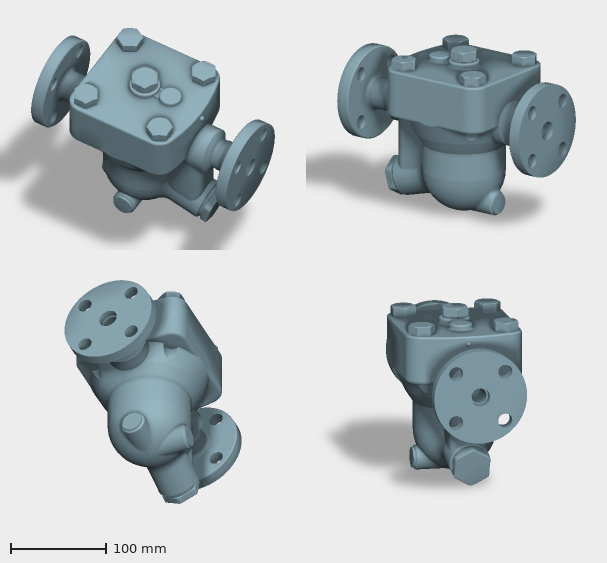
import cadquery as cq
import math


BOWL_R = 44.0
DOME_Z = -62.4
SHOULDER_Z = -32.7
CONE_BREAK_Z = -19.1
CONE_BREAK_R = 52.8
CONE_TOP_Z = 7.2
CONE_TOP_R = 65.7

HALF_SIDE = 125.0 / 2
BOLT_OFFSET = 45.2
CORNER_R = HALF_SIDE - BOLT_OFFSET
NOSE_CORNER_R = 18.2
NOSE_X = 69.0
NOSE_X_BOTTOM = 67.2
JOINT_Z = 29.2
COVER_TOP_Z = 51.6
COVER_EDGE_R = 2.5
FLANGE_EDGE_R = 3.5
BOLT_RELIEF_R = 8.5
BOLT_RELIEF_DEPTH = 28.7

BOLT_HEAD_AF = 24.5
BOLT_HEAD_HEIGHT = 10.0
BOSS_TOP_Z = 58.0
BOSS_FOOT_R = 2.9
BOSS_EDGE_R = 2.0
BIG_BOSS_R = 33.0 / 2
SMALL_BOSS_R = 24.0 / 2
SMALL_BOSS_X = 31.5
BRIDGE_TOP_WIDTH = 13.6
COVER_PLUG_AF = 26.5
COVER_PLUG_HEIGHT = 10.3
COVER_PLUG_NECK_R = 26.0 / 2
COVER_PLUG_NECK_HEIGHT = 1.0
PIN_R = 2.9
PIN_TIP_R = 2.5
PIN_Z = 43.5
PIN_TIP_X = 72.5

LENGTH = 239.0
PIPE_MID_X = 10.0
HALF_LENGTH = LENGTH / 2
PIPE_FLANGE_R = 100.0 / 2
PIPE_FLANGE_THICKNESS = 13.6
PIPE_FLANGE_CHAMFER = 1.2
NECK_FOOT_R = 4.3
NECK_R = 33.0 / 2
NECK_THIN_R = 32.0 / 2
WELD_BULGE = 0.6
WELD_OUTER = 91.3
WELD_INNER = 84.1
HUB_NECK_END = 79.5
HUB_START = 74.5
HUB_R = 48.3 / 2
BOLT_CIRCLE_R = 74.8 / 2
FLANGE_HOLE_D = 15.0
MOUTH_D = 20.0
MOUTH_DEPTH = 8.0
BORE_D = 16.0
BORE_DEPTH = 40.6

LEG_END_X = 77.0
LEG_HALF_WIDTH = 40.0 / 2
LEG_EDGE_R = 11.5
LEG_BOTTOM_Z = -76.5

STRAINER_ANGLE = 15.0
STRAINER_R = 44.0 / 2
STRAINER_BLEND_R = 17.0
STRAINER_SINK = 0.12
STRAINER_END = 80.0
STRAINER_CHAMFER = 1.0
GASKET_R = 38.0 / 2
CAP_START = 83.5
CAP_END = 91.5
CAP_AF = 37.8
CAP_CORNER_R = 4.0
CAP_RIM_R = 1.2

PLUG_Z = -92.3
PLUG_R = 26.0 / 2
PLUG_BARREL_END = 42.8
PLUG_CHAMFER_END = 44.5
PLUG_END = 46.1
PLUG_TIP_R = 22.0 / 2
PLUG_BLEND_R = 4.8

HEX_CHAMFER_ANGLE = 30.0
HEX_FACE_SHARE = 0.97


def hex_corner_radius(across_flats):
    return across_flats / 2 / math.cos(math.pi / 6)


def hex_head(across_flats, height, turn=0.0, both_ends=False):
    """Hexagon standing on z = 0, corners on X, with its end corners turned off conically."""
    corner_r = hex_corner_radius(across_flats)
    face_r = across_flats / 2 * HEX_FACE_SHARE
    drop = (corner_r - face_r) * math.tan(math.radians(HEX_CHAMFER_ANGLE))
    head = cq.Workplane("XY").polygon(6, 2 * corner_r).extrude(height)
    turned = cq.Workplane("XZ")
    if both_ends:
        turned = turned.lineTo(face_r, 0).lineTo(corner_r, drop)
    else:
        turned = turned.lineTo(corner_r, 0)
    turned = (
        turned.lineTo(corner_r, height - drop)
        .lineTo(face_r, height)
        .lineTo(0, height)
        .close()
        .revolve(360, (0, 0, 0), (0, 1, 0))
    )
    return head.intersect(turned).rotate((0, 0, 0), (0, 0, 1), turn)


def bowl():
    turned = (
        cq.Workplane("XZ")
        .moveTo(0, CONE_TOP_Z)
        .lineTo(CONE_TOP_R, CONE_TOP_Z)
        .lineTo(CONE_BREAK_R, CONE_BREAK_Z)
        .lineTo(BOWL_R, SHOULDER_Z)
        .lineTo(BOWL_R, DOME_Z)
        .radiusArc((0, DOME_Z - BOWL_R), BOWL_R)
        .close()
        .revolve(360, (0, 0, 0), (0, 1, 0))
    )
    bottom = cq.Workplane("XY", origin=(0, 0, DOME_Z - BOWL_R))
    envelope = square_outline(bottom, NOSE_X_BOTTOM).extrude(CONE_TOP_Z - DOME_Z + BOWL_R)
    return turned.intersect(envelope)


def square_outline(plane, nose_x):
    """Rounded square whose +X side is one wide arc tangent to its two corners."""
    centre = HALF_SIDE - NOSE_CORNER_R
    reach = nose_x - NOSE_CORNER_R
    bow_x = (reach**2 - 2 * centre**2) / (2 * (reach - centre))
    lean = math.atan2(centre, centre - bow_x)

    def corner_point(angle):
        return (centre + NOSE_CORNER_R * math.cos(angle), centre + NOSE_CORNER_R * math.sin(angle))

    end_x, end_y = corner_point(lean)
    mid_x, mid_y = corner_point((lean + math.pi / 2) / 2)
    return (
        plane.moveTo(-BOLT_OFFSET, -HALF_SIDE)
        .lineTo(centre, -HALF_SIDE)
        .threePointArc((mid_x, -mid_y), (end_x, -end_y))
        .threePointArc((nose_x, 0), (end_x, end_y))
        .threePointArc((mid_x, mid_y), (centre, HALF_SIDE))
        .lineTo(-BOLT_OFFSET, HALF_SIDE)
        .radiusArc((-HALF_SIDE, BOLT_OFFSET), -CORNER_R)
        .lineTo(-HALF_SIDE, -BOLT_OFFSET)
        .radiusArc((-BOLT_OFFSET, -HALF_SIDE), -CORNER_R)
        .close()
    )


def body_flange():
    lower = square_outline(cq.Workplane("XY"), NOSE_X_BOTTOM)
    both = square_outline(lower.workplane(offset=JOINT_Z), NOSE_X)
    return both.loft(ruled=True).faces("<Z").edges().fillet(FLANGE_EDGE_R)


def cover():
    plate = square_outline(cq.Workplane("XY", origin=(0, 0, JOINT_Z)), NOSE_X)
    return plate.extrude(COVER_TOP_Z - JOINT_Z).faces(">Z").edges().fillet(COVER_EDGE_R)


def corner_points():
    return [(sx * BOLT_OFFSET, sy * BOLT_OFFSET) for sx in (-1, 1) for sy in (-1, 1)]


def cover_bolts():
    heads = cq.Workplane("XY")
    for x, y in corner_points():
        turn = 0 if x * y > 0 else 30
        heads = heads.add(hex_head(BOLT_HEAD_AF, BOLT_HEAD_HEIGHT, turn).translate((x, y, COVER_TOP_Z)))
    return heads.combine()


def boss(x, radius):
    """Round cover boss with a hollow foot radius and a rounded rim."""
    return (
        cq.Workplane("XZ")
        .moveTo(0, COVER_TOP_Z)
        .lineTo(radius + BOSS_FOOT_R, COVER_TOP_Z)
        .radiusArc((radius, COVER_TOP_Z + BOSS_FOOT_R), BOSS_FOOT_R)
        .lineTo(radius, BOSS_TOP_Z - BOSS_EDGE_R)
        .radiusArc((radius - BOSS_EDGE_R, BOSS_TOP_Z), -BOSS_EDGE_R)
        .lineTo(0, BOSS_TOP_Z)
        .close()
        .revolve(360, (0, 0, 0), (0, 1, 0))
        .translate((x, 0, 0))
    )


def boss_bridge():
    half = BRIDGE_TOP_WIDTH / 2
    top_z = COVER_TOP_Z + BOSS_FOOT_R
    return (
        cq.Workplane("YZ")
        .moveTo(-half - BOSS_FOOT_R, COVER_TOP_Z)
        .lineTo(half + BOSS_FOOT_R, COVER_TOP_Z)
        .radiusArc((half, top_z), BOSS_FOOT_R)
        .lineTo(-half, top_z)
        .radiusArc((-half - BOSS_FOOT_R, COVER_TOP_Z), BOSS_FOOT_R)
        .close()
        .extrude(SMALL_BOSS_X)
    )


def cover_plug():
    neck = cq.Workplane("XY").circle(COVER_PLUG_NECK_R).extrude(COVER_PLUG_NECK_HEIGHT)
    head = hex_head(COVER_PLUG_AF, COVER_PLUG_HEIGHT, both_ends=True)
    head = head.translate((0, 0, COVER_PLUG_NECK_HEIGHT))
    return neck.union(head).translate((0, 0, BOSS_TOP_Z))


def nose_pin():
    pin = cq.Workplane("YZ", origin=(BOLT_OFFSET, 0, PIN_Z)).circle(PIN_R).extrude(PIN_TIP_X - BOLT_OFFSET)
    return pin.faces(">X").edges().fillet(PIN_TIP_R)


def pipe_end():
    """The +X pipe end, its X measured from the pipe midpoint."""
    inner_face = HALF_LENGTH - PIPE_FLANGE_THICKNESS
    weld_mid = ((WELD_OUTER + WELD_INNER) / 2, (NECK_R + NECK_THIN_R) / 2 + WELD_BULGE)
    turned = (
        cq.Workplane("XY")
        .lineTo(HALF_LENGTH, 0)
        .lineTo(HALF_LENGTH, PIPE_FLANGE_R)
        .lineTo(inner_face + PIPE_FLANGE_CHAMFER, PIPE_FLANGE_R)
        .lineTo(inner_face, PIPE_FLANGE_R - PIPE_FLANGE_CHAMFER)
        .lineTo(inner_face, NECK_R + NECK_FOOT_R)
        .radiusArc((inner_face - NECK_FOOT_R, NECK_R), NECK_FOOT_R)
        .lineTo(WELD_OUTER, NECK_R)
        .threePointArc(weld_mid, (WELD_INNER, NECK_THIN_R))
        .lineTo(HUB_NECK_END, NECK_THIN_R)
        .lineTo(HUB_START, HUB_R)
        .lineTo(0, HUB_R)
        .close()
        .revolve(360, (0, 0, 0), (1, 0, 0))
    )
    face = cq.Workplane("YZ", origin=(HALF_LENGTH, 0, 0))
    holes = (
        face.polarArray(BOLT_CIRCLE_R, 45, 360, 4)
        .circle(FLANGE_HOLE_D / 2)
        .extrude(-PIPE_FLANGE_THICKNESS)
    )
    mouth = face.circle(MOUTH_D / 2).extrude(-MOUTH_DEPTH)
    bore = face.circle(BORE_D / 2).extrude(-BORE_DEPTH)
    return turned.cut(holes).cut(mouth).cut(bore)


def pipe():
    right = pipe_end()
    return right.union(right.mirror("YZ")).translate((PIPE_MID_X, 0, 0))


def outlet_leg():
    leg = cq.Workplane("XY").box(LEG_END_X, 2 * LEG_HALF_WIDTH, -LEG_BOTTOM_Z, centered=(False, True, False))
    return leg.edges("|Z and >X").fillet(LEG_EDGE_R).translate((0, 0, LEG_BOTTOM_Z))


def strainer():
    """Branch with a hollow blend that sinks just under the dome, closed by a hexagon cap."""
    sunk_r = BOWL_R - STRAINER_SINK
    arc_r = STRAINER_R + STRAINER_BLEND_R
    arc_z = math.sqrt((sunk_r + STRAINER_BLEND_R) ** 2 - arc_r**2)
    on_dome = sunk_r / (sunk_r + STRAINER_BLEND_R)
    branch = (
        cq.Workplane("XZ")
        .lineTo(arc_r * on_dome, arc_z * on_dome)
        .radiusArc((STRAINER_R, arc_z), STRAINER_BLEND_R)
        .lineTo(STRAINER_R, STRAINER_END - STRAINER_CHAMFER)
        .lineTo(STRAINER_R - STRAINER_CHAMFER, STRAINER_END)
        .lineTo(GASKET_R, STRAINER_END)
        .lineTo(GASKET_R, CAP_START)
        .lineTo(0, CAP_START)
        .close()
        .revolve(360, (0, 0, 0), (0, 1, 0))
    )
    cap = cq.Workplane("XY").polygon(6, 2 * hex_corner_radius(CAP_AF)).extrude(CAP_END - CAP_START)
    cap = cap.edges("|Z").fillet(CAP_CORNER_R)
    cap = cap.faces("<Z or >Z").edges().fillet(CAP_RIM_R)
    tilted = branch.union(cap.translate((0, 0, CAP_START))).rotate((0, 0, 0), (0, 1, 0), 90 + STRAINER_ANGLE)
    return tilted.translate((0, 0, DOME_Z))


def plug(turn):
    """Blind plug along -X, turned about Z."""
    return (
        cq.Workplane("XY")
        .lineTo(-PLUG_END, 0)
        .lineTo(-PLUG_END, PLUG_TIP_R)
        .lineTo(-PLUG_CHAMFER_END, PLUG_TIP_R)
        .lineTo(-PLUG_BARREL_END, PLUG_R)
        .lineTo(0, PLUG_R)
        .close()
        .revolve(360, (0, 0, 0), (1, 0, 0))
        .translate((0, 0, PLUG_Z))
        .rotate((0, 0, 0), (0, 0, 1), turn)
    )


def blended_plug(body):
    """Add the -X plug with a small radius where it leaves the dome."""
    joined = body.union(plug(0))
    return joined.edges("%BSPLINE").edges("<Z").fillet(PLUG_BLEND_R)


result = blended_plug(bowl())
reliefs = cq.Workplane("XY").pushPoints(corner_points()).circle(BOLT_RELIEF_R).extrude(-BOLT_RELIEF_DEPTH)
result = result.cut(reliefs)
for piece in (outlet_leg(), strainer(), plug(90), pipe(), body_flange()):
    result = result.union(piece)

for piece in (
    cover(),
    cover_bolts(),
    boss(0, BIG_BOSS_R),
    boss(SMALL_BOSS_X, SMALL_BOSS_R),
    boss_bridge(),
    cover_plug(),
    nose_pin(),
):
    result = result.union(piece, clean=False)